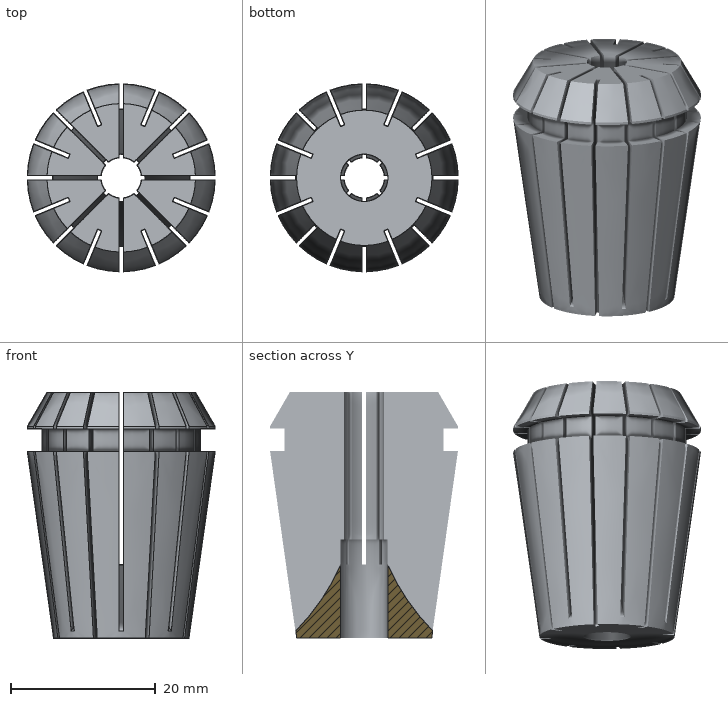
import cadquery as cq
import math

height = 34.0
max_radius = 13.0
body_half_angle = 8.0
head_half_angle = 30.0
body_top = 25.85
head_bottom = 28.95
rim_height = 0.35
groove_radius = 10.98

bore_radius = 2.8
relief_radius = 3.25
relief_top = 13.6

slot_width = 0.58
slots_per_kind = 8
slot_pitch = 360.0 / slots_per_kind

floor_inner_z = 10.2
floor_outer_z = 1.02
saw_radius = 30.6

short_slot_inner_radius = 7.82

cut_clearance = 1.7
cut_radius = max_radius + cut_clearance
cut_top = height + cut_clearance


def cone_drop(length, half_angle):
    return length * math.tan(math.radians(half_angle))


def collet_blank():
    base_radius = max_radius - cone_drop(body_top, body_half_angle)
    rim_top = head_bottom + rim_height
    top_radius = max_radius - cone_drop(height - rim_top, head_half_angle)
    return (
        cq.Workplane("XZ")
        .moveTo(bore_radius, height)
        .lineTo(top_radius, height)
        .lineTo(max_radius, rim_top)
        .lineTo(max_radius, head_bottom)
        .lineTo(groove_radius, head_bottom)
        .lineTo(groove_radius, body_top)
        .lineTo(max_radius, body_top)
        .lineTo(base_radius, 0)
        .lineTo(relief_radius, 0)
        .lineTo(relief_radius, relief_top)
        .lineTo(bore_radius, relief_top)
        .close()
        .revolve(360, (0, 0, 0), (0, 1, 0))
    )


def head_slot():
    outer_radius = max_radius - cone_drop(body_top - floor_outer_z, body_half_angle)
    return (
        cq.Workplane("XZ")
        .moveTo(0, floor_inner_z)
        .lineTo(relief_radius, floor_inner_z)
        .radiusArc((outer_radius, floor_outer_z), -saw_radius)
        .lineTo(cut_radius, floor_outer_z)
        .lineTo(cut_radius, cut_top)
        .lineTo(0, cut_top)
        .close()
        .extrude(slot_width / 2, both=True)
    )


def short_slot():
    length = cut_radius - short_slot_inner_radius
    return (
        cq.Workplane("XY")
        .box(length, slot_width, cut_top, centered=(False, True, False))
        .translate((short_slot_inner_radius, 0, 0))
    )


def turned(cutter, angle):
    return cutter.rotate((0, 0, 0), (0, 0, 1), angle)


result = collet_blank()
for index in range(slots_per_kind):
    angle = index * slot_pitch
    result = result.cut(turned(head_slot(), angle))
    result = result.cut(turned(short_slot(), angle + slot_pitch / 2))